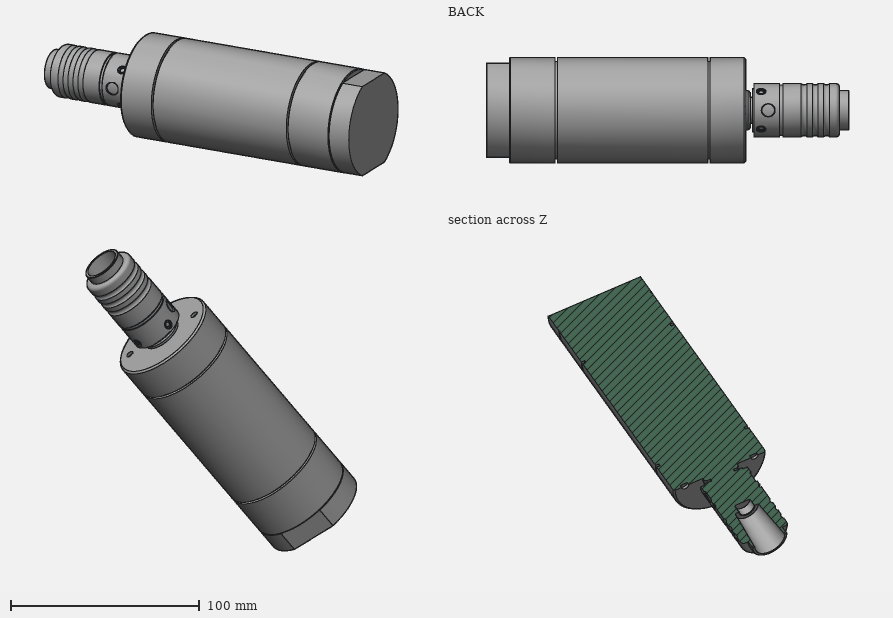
import cadquery as cq
import math

TOTAL_LENGTH = 191.7
COLLAR_START = 4.85
COLLAR_END = 50.2
FLANGE_END = 51.1
SEAT_START = 52.05
BODY_START = 54.5
WRENCH_LENGTH = 12.0
BODY_END = TOTAL_LENGTH - WRENCH_LENGTH

NOSE_DIA = 21.0
COLLAR_DIA = 28.4
COLLAR_GROOVE_DIA = 27.0
FLANGE_DIA = 23.0
NECK_DIA = 14.0
SEAT_DIA = 21.0
BODY_DIA = 56.0
BODY_GROOVE_DIA = 51.9

CUT_OVERRUN = 1.0

NOSE_CHAMFER = 0.25
COLLAR_FILLET = 2.0
SEAT_CHAMFER = 1.2
BODY_FRONT_CHAMFER = 1.0
BODY_REAR_CHAMFER = 0.5

BODY_GROOVE_WIDTH = 1.15
BODY_GROOVE_CENTERS = (74.0, 154.85)

GRIP_GROOVE_COUNT = 3
GRIP_GROOVE_WIDTH = 3.1
GRIP_GROOVE_FIRST = 11.77
GRIP_GROOVE_PITCH = 5.95
SPLIT_GROOVE_CENTER = 35.7
SPLIT_GROOVE_WIDTH = 1.7

BORE_START_DIA = 18.0
BORE_END_DIA = 13.8
BORE_DEPTH = 25.0
PIN_HOLE_DIA = 9.0
PIN_HOLE_DEPTH = 5.0
PIN_HOLE_CHAMFER = 0.3

WINDOW_X = 42.65
WINDOW_ANGLES = (-90.0, 90.0)
WINDOW_FLOOR_WIDTH = 6.65
WINDOW_RIM_WIDTH = 7.4
WINDOW_FLOOR_DIA = 27.0

SCREW_X = 46.4
SCREW_COUNT = 4
SCREW_FIRST_ANGLE = 45.0
SCREW_RIM_DIA = 5.0
SCREW_FLOOR_DIA = 4.0
SCREW_RECESS_DEPTH = 0.5
SCREW_SOCKET_WIDTH = 2.5
SCREW_SOCKET_DEPTH = 0.5

SPANNER_HOLE_DIA = 4.0
SPANNER_HOLE_SPACING = 42.0
SPANNER_HOLE_DEPTH = 1.5

FLATS_WIDTH = 50.0


def cylinder(start, end, diameter):
    """Cylinder on the X axis between two X positions."""
    return cq.Workplane("YZ", origin=(start, 0, 0)).circle(diameter / 2).extrude(end - start)


def ring_groove(center, width, outer_dia, floor_dia):
    """Square-sided ring around the X axis, used to cut a groove."""
    start = center - width / 2
    end = center + width / 2
    return cylinder(start, end, outer_dia + 2 * CUT_OVERRUN).cut(cylinder(start, end, floor_dia))


def grip_groove(center):
    """Ring of circular-arc section that cuts one finger-grip groove."""
    half_width = GRIP_GROOVE_WIDTH / 2
    rim = COLLAR_DIA / 2
    profile = (
        cq.Workplane("XY")
        .moveTo(center - half_width, rim)
        .threePointArc((center, COLLAR_GROOVE_DIA / 2), (center + half_width, rim))
        .lineTo(center + half_width, rim + CUT_OVERRUN)
        .lineTo(center - half_width, rim + CUT_OVERRUN)
        .close()
    )
    return profile.revolve(360, (0, 0, 0), (1, 0, 0))


def make_collar():
    """Connector collar with rounded front edge, grip grooves and split groove."""
    collar = cylinder(COLLAR_START, COLLAR_END, COLLAR_DIA)
    collar = collar.faces("<X").edges().fillet(COLLAR_FILLET)
    for i in range(GRIP_GROOVE_COUNT):
        collar = collar.cut(grip_groove(GRIP_GROOVE_FIRST + i * GRIP_GROOVE_PITCH))
    return collar.cut(
        ring_groove(SPLIT_GROOVE_CENTER, SPLIT_GROOVE_WIDTH, COLLAR_DIA, COLLAR_GROOVE_DIA)
    )


def make_body():
    """Main body with chamfered ends and two ring grooves."""
    body = cylinder(BODY_START, BODY_END, BODY_DIA)
    body = body.faces("<X").edges().chamfer(BODY_FRONT_CHAMFER)
    body = body.faces(">X").edges().chamfer(BODY_REAR_CHAMFER)
    for center in BODY_GROOVE_CENTERS:
        body = body.cut(ring_groove(center, BODY_GROOVE_WIDTH, BODY_DIA, BODY_GROOVE_DIA))
    return body


def make_wrench_end():
    """Rear end with two parallel flats facing up and down."""
    flats = cq.Workplane("XY").box(TOTAL_LENGTH, BODY_DIA, FLATS_WIDTH)
    flats = flats.translate((BODY_END, 0, 0))
    return cylinder(BODY_END, TOTAL_LENGTH, BODY_DIA).intersect(flats)


def cone(start, end, start_dia, end_dia):
    """Truncated cone on the X axis between two X positions."""
    return (
        cq.Workplane("YZ", origin=(start, 0, 0))
        .circle(start_dia / 2)
        .workplane(offset=end - start)
        .circle(end_dia / 2)
        .loft()
    )


def make_bore():
    """Solid filling the tapered bore and the chamfered pin hole."""
    taper = cone(0, BORE_DEPTH, BORE_START_DIA, BORE_END_DIA)
    pin_hole = cylinder(BORE_DEPTH, BORE_DEPTH + PIN_HOLE_DEPTH, PIN_HOLE_DIA)
    chamfer_dia = PIN_HOLE_DIA + 2 * PIN_HOLE_CHAMFER
    chamfer = cone(BORE_DEPTH, BORE_DEPTH + PIN_HOLE_CHAMFER, chamfer_dia, PIN_HOLE_DIA)
    return taper.union(pin_hole).union(chamfer)


def flared_plug(x, floor_radius, floor_dia, rim_dia):
    """Upright plug flaring from a floor radius out to the collar surface and a little beyond."""
    rim_radius = COLLAR_DIA / 2
    flare = (
        cq.Workplane("XY", origin=(x, 0, floor_radius))
        .circle(floor_dia / 2)
        .workplane(offset=rim_radius - floor_radius)
        .circle(rim_dia / 2)
        .loft()
    )
    rim = cq.Workplane("XY", origin=(x, 0, rim_radius)).circle(rim_dia / 2).extrude(CUT_OVERRUN)
    return flare.union(rim)


def turn_around_axis(shape, angle):
    """Shape turned about the X axis by an angle in degrees."""
    return shape.rotate((0, 0, 0), (1, 0, 0), angle)


def make_window(angle):
    """Solid filling one flared window whose floor follows the collar's curve."""
    floor_radius = WINDOW_FLOOR_DIA / 2
    shaft = (
        cq.Workplane("XY", origin=(WINDOW_X, 0, 0))
        .circle(WINDOW_FLOOR_WIDTH / 2)
        .extrude(floor_radius)
    )
    plug = flared_plug(WINDOW_X, floor_radius, WINDOW_FLOOR_WIDTH, WINDOW_RIM_WIDTH).union(shaft)
    window = plug.cut(cylinder(COLLAR_START, COLLAR_END, WINDOW_FLOOR_DIA))
    return turn_around_axis(window, angle)


def make_screw_recess(angle):
    """Solid filling one flared set-screw recess and its hexagon socket."""
    floor_radius = COLLAR_DIA / 2 - SCREW_RECESS_DEPTH
    plug = flared_plug(SCREW_X, floor_radius, SCREW_FLOOR_DIA, SCREW_RIM_DIA)
    socket_corner_dia = SCREW_SOCKET_WIDTH / math.cos(math.pi / 6)
    socket = (
        cq.Workplane("XY", origin=(SCREW_X, 0, floor_radius))
        .polygon(6, socket_corner_dia)
        .extrude(-SCREW_SOCKET_DEPTH)
    )
    return turn_around_axis(plug.union(socket), angle)


def make_spanner_holes():
    """Solid filling the two pin-spanner holes."""
    half = SPANNER_HOLE_SPACING / 2
    return (
        cq.Workplane("YZ", origin=(BODY_START, 0, 0))
        .pushPoints([(-half, 0), (half, 0)])
        .circle(SPANNER_HOLE_DIA / 2)
        .extrude(SPANNER_HOLE_DEPTH)
    )


nose = cylinder(0, COLLAR_START, NOSE_DIA).faces("<X").edges().chamfer(NOSE_CHAMFER)
seat = cylinder(SEAT_START, BODY_START, SEAT_DIA).faces("<X").edges().chamfer(SEAT_CHAMFER)

result = (
    nose.union(make_collar())
    .union(cylinder(COLLAR_END, FLANGE_END, FLANGE_DIA))
    .union(cylinder(FLANGE_END, SEAT_START, NECK_DIA))
    .union(seat)
    .union(make_body())
    .union(make_wrench_end())
    .cut(make_bore())
    .cut(make_spanner_holes())
)
for window_angle in WINDOW_ANGLES:
    result = result.cut(make_window(window_angle))
for screw in range(SCREW_COUNT):
    result = result.cut(make_screw_recess(SCREW_FIRST_ANGLE + screw * 360 / SCREW_COUNT))